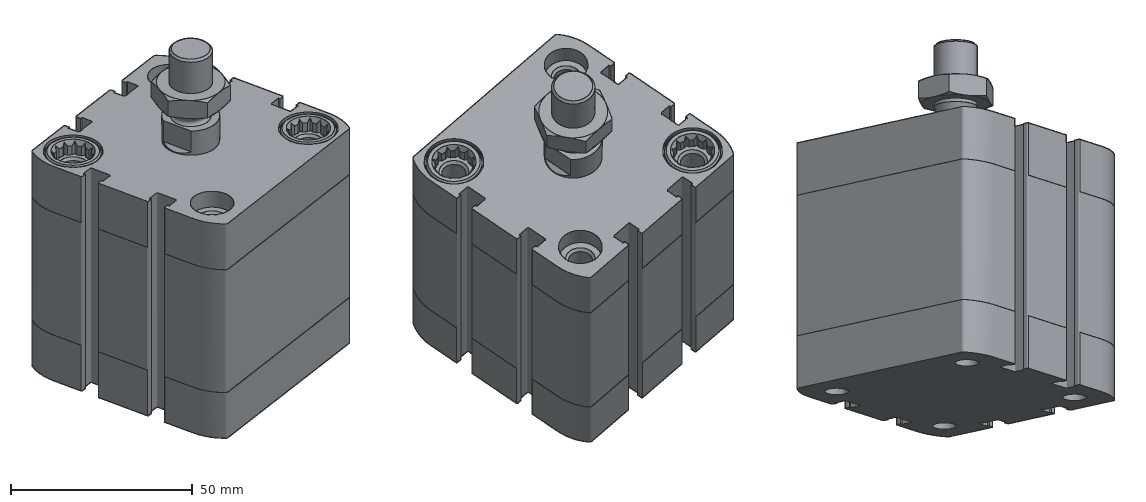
import cadquery as cq
import math


barrel_width = 65.5
cap_width = 65.4
cap_height = 15.0
barrel_height = 40.1
housing_height = barrel_height + 2 * cap_height

bulge_start = 23.3
bulge_radius = 16.0
barrel_corner_radius = 1.3
cap_corner_radius = 1.0

slot_offset = 11.1
slot_mouth = 5.4
slot_width = 6.6
slot_depth = 5.3
lip_depth = 1.7
slot_rounding = 0.4

hole_offset = 23.2
hole_diameter = 6.7
countersink_diameter = 8.2
countersink_slope = 45
counterbore_diameter = 12.0
counterbore_depth = 5.2

screw_diameter = 15.5
screw_chamfer = 0.5
groove_diameter = 16.4
groove_depth = 1.0
socket_mouth_diameter = 12.2
socket_core_diameter = 10.4
socket_point_diameter = 11.7
socket_cone_depth = 1.6
socket_depth = 4.5
socket_squares = 3

rod_top = 99.7
rod_diameter = 16.0
shoulder_z = 77.9
flats_width = 13.0
flats_bottom_z = 71.1
flats_slope = 30
neck_z = 79.2
neck_diameter = 10.0
neck_root_radius = 1.0
neck_foot_top_diameter = 10.5
neck_foot_diameter = 11.3
neck_foot_height = 0.3
thread_diameter = 12.0
thread_bottom_z = 81.9
waist_radius = 19.9
thread_tip_diameter = 10.7

nut_across_flats = 18.9
nut_bottom_z = 82.9
nut_height = 6.0
nut_chamfer_slope = 20


def slope_rise(run, slope):
    """Height gained over a horizontal run at a slope in degrees."""
    return run * math.tan(math.radians(slope))


def cone(bottom_diameter, top_diameter, bottom_z, height):
    """Cone frustum on the Z axis."""
    return (
        cq.Workplane("XZ")
        .moveTo(0, bottom_z)
        .lineTo(bottom_diameter / 2, bottom_z)
        .lineTo(top_diameter / 2, bottom_z + height)
        .lineTo(0, bottom_z + height)
        .close()
        .revolve(360, (0, 0), (0, 1))
    )


def cylinder(diameter, bottom_z, height):
    return cq.Workplane("XY", origin=(0, 0, bottom_z)).circle(diameter / 2).extrude(height)


def slot_cutter():
    """T-slot cutter with a rounded mouth, opening through the +Y face at X = 0."""
    half_width = barrel_width / 2
    mouth = slot_mouth / 2
    pocket = slot_width / 2
    rounding = slot_rounding
    lip_y = half_width - lip_depth
    floor_y = half_width - slot_depth
    return (
        cq.Workplane("XY")
        .moveTo(-mouth - rounding, half_width)
        .radiusArc((-mouth, half_width - rounding), rounding)
        .lineTo(-mouth, lip_y)
        .lineTo(-pocket, lip_y)
        .lineTo(-pocket, floor_y + rounding)
        .radiusArc((-pocket + rounding, floor_y), -rounding)
        .lineTo(pocket - rounding, floor_y)
        .radiusArc((pocket, floor_y + rounding), -rounding)
        .lineTo(pocket, lip_y)
        .lineTo(mouth, lip_y)
        .lineTo(mouth, half_width - rounding)
        .radiusArc((mouth + rounding, half_width), rounding)
        .close()
        .extrude(housing_height)
    )


def housing_section(width, corner_radius, bottom_z, height):
    """One stretch of the housing, with rounded corners and before its slots are cut."""
    half = width / 2
    run = half - bulge_start
    side_y = half - bulge_radius + math.sqrt(bulge_radius**2 - run**2)
    section = (
        cq.Workplane("XY", origin=(0, 0, bottom_z))
        .moveTo(-bulge_start, half)
        .lineTo(bulge_start, half)
        .radiusArc((half, side_y), bulge_radius)
        .lineTo(half, -side_y)
        .radiusArc((bulge_start, -half), bulge_radius)
        .lineTo(-bulge_start, -half)
        .radiusArc((-half, -side_y), bulge_radius)
        .lineTo(-half, side_y)
        .radiusArc((-bulge_start, half), bulge_radius)
        .close()
        .extrude(height)
    )
    return section.edges("|Z and (<X or >X)").fillet(corner_radius)


def countersunk_hole(recess_depth):
    """Through hole with a countersink in the floor of a recess of the given depth."""
    floor_z = housing_height - recess_depth
    sink_depth = slope_rise((countersink_diameter - hole_diameter) / 2, countersink_slope)
    hole = cylinder(hole_diameter, 0, floor_z)
    return hole.union(cone(hole_diameter, countersink_diameter, floor_z - sink_depth, sink_depth))


def counterbored_hole():
    recess = cylinder(counterbore_diameter, housing_height - counterbore_depth, counterbore_depth)
    return recess.union(countersunk_hole(counterbore_depth))


def screw_socket():
    """Twelve-point socket with a conical mouth and a hole through its floor."""
    floor_z = housing_height - socket_depth
    cone_z = housing_height - socket_cone_depth
    mouth = cone(socket_core_diameter, socket_mouth_diameter, cone_z, socket_cone_depth)
    points = cylinder(socket_core_diameter, floor_z, socket_depth)
    square_side = socket_point_diameter / math.sqrt(2)
    for index in range(socket_squares):
        turn = 45 + index * 90 / socket_squares
        square = (
            cq.Workplane("XY", origin=(0, 0, floor_z))
            .rect(square_side, square_side)
            .extrude(socket_depth)
            .rotate((0, 0, 0), (0, 0, 1), turn)
        )
        points = points.union(square)
    return points.union(mouth).union(countersunk_hole(socket_depth))


def screw_groove():
    """Ring gap around the chamfered rim of a collar screw."""
    screw_radius = screw_diameter / 2
    groove_radius = groove_diameter / 2
    return (
        cq.Workplane("XZ")
        .moveTo(screw_radius - screw_chamfer, housing_height)
        .lineTo(screw_radius, housing_height - screw_chamfer)
        .lineTo(screw_radius, housing_height - groove_depth)
        .lineTo(groove_radius, housing_height - groove_depth)
        .lineTo(groove_radius, housing_height)
        .close()
        .revolve(360, (0, 0), (0, 1))
    )


def make_housing():
    barrel_top = cap_height + barrel_height
    lower_cap = housing_section(cap_width, cap_corner_radius, 0, cap_height)
    barrel = housing_section(barrel_width, barrel_corner_radius, cap_height, barrel_height)
    upper_cap = housing_section(cap_width, cap_corner_radius, barrel_top, cap_height)
    housing = lower_cap.union(barrel).union(upper_cap)

    cutter = slot_cutter()
    for face_angle in (0, 90, 180):
        for offset in (-slot_offset, slot_offset):
            slot = cutter.translate((offset, 0, 0)).rotate((0, 0, 0), (0, 0, 1), face_angle)
            housing = housing.cut(slot)

    plain_hole = counterbored_hole()
    socket = screw_socket()
    groove = screw_groove()
    for side in (-1, 1):
        corner = side * hole_offset
        housing = housing.cut(plain_hole.translate((corner, -corner, 0)))
        housing = housing.cut(socket.translate((corner, corner, 0)))
        housing = housing.cut(groove.translate((corner, corner, 0)))
    return housing.solids()


def wrench_flat_cutter():
    """Cutter for the wrench flat on the -Y side, with a sloping lower end."""
    flat_y = -flats_width / 2
    outer_y = -rod_diameter / 2
    slope_drop = slope_rise(flat_y - outer_y, flats_slope)
    return (
        cq.Workplane("YZ")
        .moveTo(flat_y, shoulder_z)
        .lineTo(flat_y, flats_bottom_z)
        .lineTo(outer_y, flats_bottom_z - slope_drop)
        .lineTo(outer_y, shoulder_z)
        .close()
        .extrude(rod_diameter / 2, both=True)
    )


def make_rod():
    """Stepped rod standing on the housing, with a waisted neck below the thread."""
    rod_radius = rod_diameter / 2
    neck_radius = neck_diameter / 2
    thread_radius = thread_diameter / 2
    tip_radius = thread_tip_diameter / 2
    tip_chamfer = thread_radius - tip_radius
    rod = (
        cq.Workplane("XZ")
        .moveTo(0, housing_height)
        .lineTo(rod_radius, housing_height)
        .lineTo(rod_radius, shoulder_z)
        .lineTo(neck_foot_diameter / 2, shoulder_z)
        .lineTo(neck_foot_top_diameter / 2, shoulder_z + neck_foot_height)
        .radiusArc((neck_radius, neck_z), neck_root_radius)
        .radiusArc((thread_radius, thread_bottom_z), waist_radius)
        .lineTo(thread_radius, rod_top - tip_chamfer)
        .lineTo(tip_radius, rod_top)
        .lineTo(0, rod_top)
        .close()
        .revolve(360, (0, 0), (0, 1))
    )
    flat = wrench_flat_cutter()
    return rod.cut(flat).cut(flat.mirror("XZ")).solids()


def make_nut():
    """Hexagon nut with corners towards +Y and -Y, chamfered at both ends."""
    corner_diameter = nut_across_flats / math.cos(math.radians(30))
    chamfer_height = slope_rise((corner_diameter - nut_across_flats) / 2, nut_chamfer_slope)
    chamfer_z = nut_bottom_z + chamfer_height
    straight_height = nut_height - 2 * chamfer_height
    envelope = cone(nut_across_flats, corner_diameter, nut_bottom_z, chamfer_height)
    envelope = envelope.union(cylinder(corner_diameter, chamfer_z, straight_height))
    envelope = envelope.union(
        cone(corner_diameter, nut_across_flats, chamfer_z + straight_height, chamfer_height)
    )
    hexagon = (
        cq.Workplane("XY", origin=(0, 0, nut_bottom_z))
        .polygon(6, corner_diameter)
        .extrude(nut_height)
        .rotate((0, 0, 0), (0, 0, 1), 90)
    )
    bore = cylinder(thread_diameter, nut_bottom_z, nut_height)
    return hexagon.intersect(envelope).cut(bore).solids()


housing = make_housing()
rod = make_rod()
nut = make_nut()
result = cq.Compound.makeCompound([housing.val(), rod.val(), nut.val()])